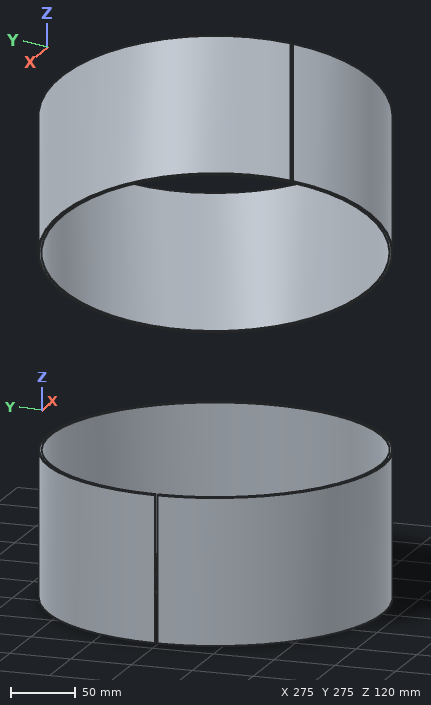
import cadquery as cq

outer_diameter = 275.0
wall_thickness = 2.5
height = 120.0

outer_chamfer = 0.5
inner_chamfer = 0.2

slit_angle = 1.0

outer_radius = outer_diameter / 2
inner_radius = outer_radius - wall_thickness


def make_wall_section():
    return (
        cq.Workplane("XZ")
        .moveTo(-outer_radius, outer_chamfer)
        .lineTo(-outer_radius + outer_chamfer, 0)
        .lineTo(-inner_radius - inner_chamfer, 0)
        .lineTo(-inner_radius, inner_chamfer)
        .lineTo(-inner_radius, height - inner_chamfer)
        .lineTo(-inner_radius - inner_chamfer, height)
        .lineTo(-outer_radius + outer_chamfer, height)
        .lineTo(-outer_radius, height - outer_chamfer)
        .close()
    )


def make_split_ring():
    return make_wall_section().revolve(360 - slit_angle, (0, 0), (0, 1))


result = make_split_ring()